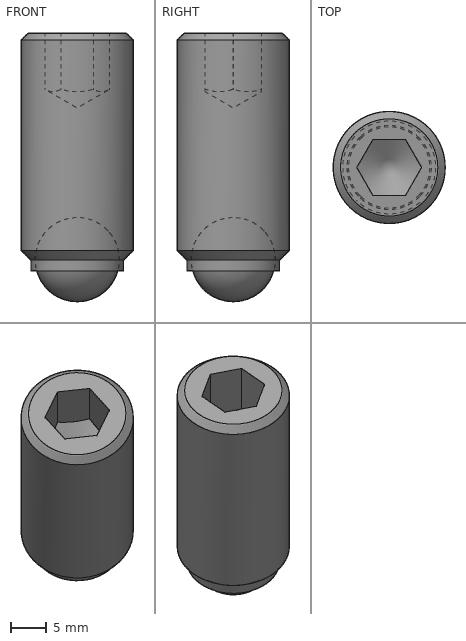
import cadquery as cq
import math

total_length = 38.3
screw_radius = 8.0

ball_radius = 6.0

nose_radius = 6.63
nose_bottom = 4.4
nose_chamfer_top = 7.3
nose_chamfer_bottom = nose_chamfer_top - (screw_radius - nose_radius)

head_chamfer_bottom = 37.3
head_chamfer_radius = 7.12
head_chamfer_top = head_chamfer_bottom + (screw_radius - head_chamfer_radius)
top_face_radius = 6.95

hex_across_flats = 8.0
hex_across_corners = hex_across_flats / math.cos(math.radians(30))
hex_depth = 8.0
socket_cone_angle = 120.0
socket_cone_depth = hex_across_corners / 2 / math.tan(math.radians(socket_cone_angle / 2))


def make_ball():
    """Full sphere held in the nose of the screw."""
    return cq.Workplane("XY").sphere(ball_radius).translate((0, 0, ball_radius))


def make_hex_socket():
    """Hexagonal prism trimmed at its lower end by a cone through its corners."""
    floor = total_length - hex_depth
    prism = (
        cq.Workplane("XY", origin=(0, 0, total_length))
        .polygon(6, hex_across_corners)
        .extrude(-(hex_depth + socket_cone_depth))
    )
    envelope = (
        cq.Workplane("XZ")
        .moveTo(0, floor - socket_cone_depth)
        .lineTo(hex_across_corners / 2, floor)
        .lineTo(screw_radius, floor)
        .lineTo(screw_radius, total_length)
        .lineTo(0, total_length)
        .close()
        .revolve(360, (0, 0), (0, 1))
    )
    return prism.intersect(envelope)


def make_screw(ball):
    """Turned screw body with a hexagon socket and a seat matching the ball."""
    blank = (
        cq.Workplane("XZ")
        .moveTo(0, nose_bottom)
        .lineTo(nose_radius, nose_bottom)
        .lineTo(nose_radius, nose_chamfer_bottom)
        .lineTo(screw_radius, nose_chamfer_top)
        .lineTo(screw_radius, head_chamfer_bottom)
        .lineTo(head_chamfer_radius, head_chamfer_top)
        .lineTo(top_face_radius, total_length)
        .lineTo(0, total_length)
        .close()
        .revolve(360, (0, 0), (0, 1))
    )
    return blank.cut(make_hex_socket()).cut(ball)


ball = make_ball()
screw = make_screw(ball)

result = cq.Compound.makeCompound([screw.solids().val(), ball.val()])